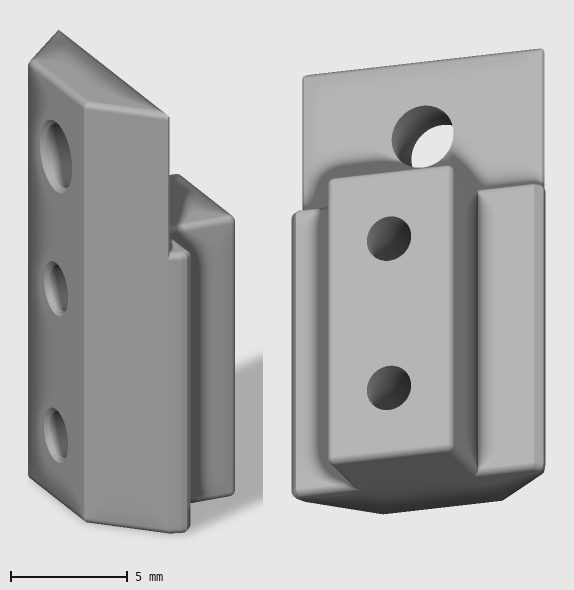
import cadquery as cq
import math

LENGTH = 19.5
WING_WIDTH = 11.4
DEPTH = 7.25

FRONT_WIDTH = 5.54
SHOULDER_DEPTH = 3.8
STEM_WIDTH = 5.7
SLOPE_ANGLE = 44.7
WING_CHAMFER = 0.31

STEP_HEIGHT = 13.0
TONGUE_DEPTH = 2.8
TONGUE_BEVEL_ANGLE = 33.0

EDGE_RADIUS = 0.3

SMALL_HOLE_DIAMETER = 2.0
LARGE_HOLE_DIAMETER = 2.8
SMALL_HOLE_HEIGHTS = (3.1, 9.89)
LARGE_HOLE_HEIGHT = 16.0
COUNTERSINK = 0.2

slope = math.radians(SLOPE_ANGLE)
half_front = FRONT_WIDTH / 2
half_wing = WING_WIDTH / 2
half_stem = STEM_WIDTH / 2
wing_corner_depth = (half_wing - half_front) * math.tan(slope)
slope_end_x = half_wing - WING_CHAMFER * math.cos(slope)
slope_end_y = wing_corner_depth - WING_CHAMFER * math.sin(slope)


def symmetric_bar(right_half, height):
    """Bar standing on Z = 0 from the right half of a section, front to back."""
    left_half = [(-x, y) for x, y in reversed(right_half)]
    return cq.Workplane("XY").polyline(right_half + left_half).close().extrude(height)


def rounded_t_bar(height):
    """Bar with the T-shaped section, with the stem corners and both ends rounded."""
    bar = symmetric_bar(
        [
            (half_front, 0),
            (slope_end_x, slope_end_y),
            (half_wing, wing_corner_depth + WING_CHAMFER),
            (half_wing, SHOULDER_DEPTH - WING_CHAMFER),
            (half_wing - WING_CHAMFER, SHOULDER_DEPTH),
            (half_stem, SHOULDER_DEPTH),
            (half_stem, DEPTH),
        ],
        height,
    )
    stem_corners = bar.faces(">Y").edges("|Z")
    return stem_corners.add(bar.faces("|Z").edges()).fillet(EDGE_RADIUS)


def tongue():
    """Full-length front layer, rounded at its top end and bevelled behind the slopes."""
    layer = cq.Workplane("XY").box(WING_WIDTH, TONGUE_DEPTH, LENGTH, centered=(True, False, False))
    layer = layer.edges(">Y and >Z").fillet(EDGE_RADIUS)
    bevel = math.radians(TONGUE_BEVEL_ANGLE)
    back_x = slope_end_x - (TONGUE_DEPTH - slope_end_y) * math.tan(bevel)
    outline = [(half_front, 0), (slope_end_x, slope_end_y), (back_x, TONGUE_DEPTH)]
    return rounded_t_bar(LENGTH).intersect(layer).intersect(symmetric_bar(outline, LENGTH))


def countersunk_hole(diameter, height):
    """Cutter for one hole along Y with its countersink at the front face."""
    radius = diameter / 2
    half_outline = [
        (0, 0),
        (radius + COUNTERSINK, 0),
        (radius, COUNTERSINK),
        (radius, DEPTH),
        (0, DEPTH),
    ]
    cutter = cq.Workplane("XY").polyline(half_outline).close()
    return cutter.revolve(360, (0, 0), (0, 1)).translate((0, 0, height))


result = rounded_t_bar(STEP_HEIGHT).union(tongue())
for hole_height in SMALL_HOLE_HEIGHTS:
    result = result.cut(countersunk_hole(SMALL_HOLE_DIAMETER, hole_height))
result = result.cut(countersunk_hole(LARGE_HOLE_DIAMETER, LARGE_HOLE_HEIGHT))